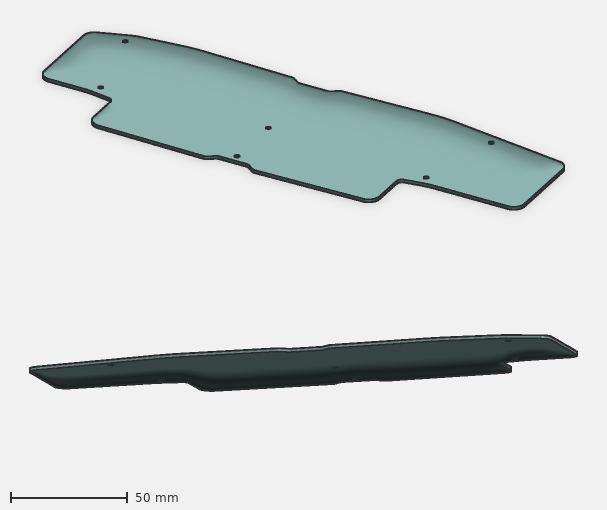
import cadquery as cq
import math

LENGTH = 235.5
DEPTH = 78.9
THICKNESS = 1.5
LEFT = -LENGTH / 2
RIGHT = LENGTH / 2

AXIS_X = -10.0

TAB_HALF_WIDTH = 70.2
TAB_CORNER_Y = 1.2
TAB_CORNER_RADIUS = 5.5
TAB_ROOT_Y = 23.5
TAB_ROOT_RADIUS = 2.5
WING_FRONT_Y = 25.7
WING_BEND_OFFSET = 83.0
WING_BEND_RADIUS = 47.0
WING_CORNER_RADIUS = 5.2

NOTCH_MOUTH_HALF_WIDTH = 11.5
NOTCH_FLOOR_HALF_WIDTH = 7.5
FRONT_NOTCH_Y = 3.0
BACK_NOTCH_Y = 74.6
BACK_MOUTH_Y = 77.5
NOTCH_RADIUS = 2.4

BACK_PEAK_OFFSET = 61.2
BACK_PEAK_RADIUS = 70.6
LEFT_BEND_X = -98.2
LEFT_BEND_Y = 76.0
LEFT_BEND_RADIUS = 18.8
LEFT_CORNER_Y = 69.5
RIGHT_CORNER_Y = 69.2

HOLE_DIAMETER = 2.2
BACK_HOLE_OFFSET = 89.7
BACK_HOLE_Y = 70.0
WING_HOLE_OFFSET = 79.8
WING_HOLE_Y = 30.1
CENTER_HOLES_Y = (6.8, 34.5)


def rounded_outline(corners):
    """Close a wire through (x, y, radius) corners, rounding each with a tangent arc."""
    arcs = []
    for i, (x, y, radius) in enumerate(corners):
        corner = cq.Vector(x, y)
        before = cq.Vector(*corners[i - 1][:2])
        after = cq.Vector(*corners[(i + 1) % len(corners)][:2])
        to_before = (before - corner).normalized()
        to_after = (after - corner).normalized()
        half_angle = to_before.getAngle(to_after) / 2
        setback = radius / math.tan(half_angle)
        bisector = (to_before + to_after).normalized()
        middle = corner + bisector * (radius / math.sin(half_angle) - radius)
        arcs.append((corner + to_before * setback, middle, corner + to_after * setback))

    outline = cq.Workplane("XY").moveTo(arcs[-1][2].x, arcs[-1][2].y)
    for start, middle, end in arcs:
        outline = outline.lineTo(start.x, start.y)
        outline = outline.threePointArc((middle.x, middle.y), (end.x, end.y))
    return outline.close()


def front_half(side):
    """Front-edge corners from the notch out to the wing; side is -1 or +1."""
    return [
        (AXIS_X + side * NOTCH_FLOOR_HALF_WIDTH, FRONT_NOTCH_Y, NOTCH_RADIUS),
        (AXIS_X + side * NOTCH_MOUTH_HALF_WIDTH, 0, NOTCH_RADIUS),
        (AXIS_X + side * TAB_HALF_WIDTH, TAB_CORNER_Y, TAB_CORNER_RADIUS),
        (AXIS_X + side * TAB_HALF_WIDTH, TAB_ROOT_Y, TAB_ROOT_RADIUS),
        (AXIS_X + side * WING_BEND_OFFSET, WING_FRONT_Y, WING_BEND_RADIUS),
    ]


def back_half(side):
    """Back-edge corners from the notch out to the peak; side is -1 or +1."""
    return [
        (AXIS_X + side * NOTCH_FLOOR_HALF_WIDTH, BACK_NOTCH_Y, NOTCH_RADIUS),
        (AXIS_X + side * NOTCH_MOUTH_HALF_WIDTH, BACK_MOUTH_Y, NOTCH_RADIUS),
        (AXIS_X + side * BACK_PEAK_OFFSET, DEPTH, BACK_PEAK_RADIUS),
    ]


right_end = [
    (RIGHT, WING_FRONT_Y, WING_CORNER_RADIUS),
    (RIGHT, RIGHT_CORNER_Y, WING_CORNER_RADIUS),
]
left_end = [
    (LEFT_BEND_X, LEFT_BEND_Y, LEFT_BEND_RADIUS),
    (LEFT, LEFT_CORNER_Y, WING_CORNER_RADIUS),
    (LEFT, WING_FRONT_Y, WING_CORNER_RADIUS),
]
corners = (
    front_half(1) + right_end + back_half(1)[::-1]
    + back_half(-1) + left_end + front_half(-1)[::-1]
)
plate = rounded_outline(corners).extrude(THICKNESS)

hole_centers = [(AXIS_X, y) for y in CENTER_HOLES_Y]
for side in (-1, 1):
    hole_centers.append((AXIS_X + side * BACK_HOLE_OFFSET, BACK_HOLE_Y))
    hole_centers.append((AXIS_X + side * WING_HOLE_OFFSET, WING_HOLE_Y))
holes = cq.Workplane("XY").pushPoints(hole_centers).circle(HOLE_DIAMETER / 2).extrude(THICKNESS)

result = plate.cut(holes)